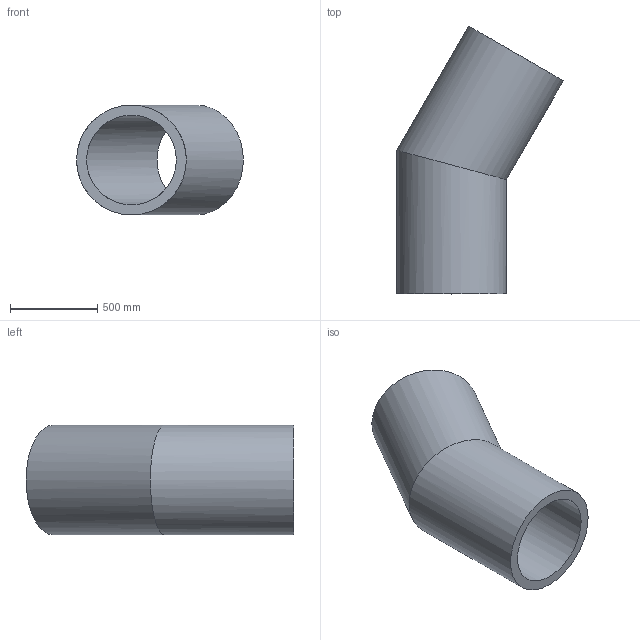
import cadquery as cq
import math

OUTER_DIAMETER = 630.0
INNER_DIAMETER = 515.6
LEG_LENGTH = 740.0
BEND_ANGLE = 30.0

bend = math.radians(BEND_ANGLE)
inlet_centre = (0.0, -LEG_LENGTH)
mitre_centre = (0.0, 0.0)
outlet_centre = (LEG_LENGTH * math.sin(bend), LEG_LENGTH * math.cos(bend))


def mitred_rod(diameter):
    """Solid round rod following the centreline with a sharp mitred corner."""
    centreline = cq.Workplane("XY").polyline([inlet_centre, mitre_centre, outlet_centre])
    inlet_plane = cq.Plane(origin=(*inlet_centre, 0.0), xDir=(1, 0, 0), normal=(0, 1, 0))
    section = cq.Workplane(inlet_plane).circle(diameter / 2)
    return section.sweep(centreline, transition="right")


pipe_body = mitred_rod(OUTER_DIAMETER)
bore = mitred_rod(INNER_DIAMETER)
result = pipe_body.cut(bore)